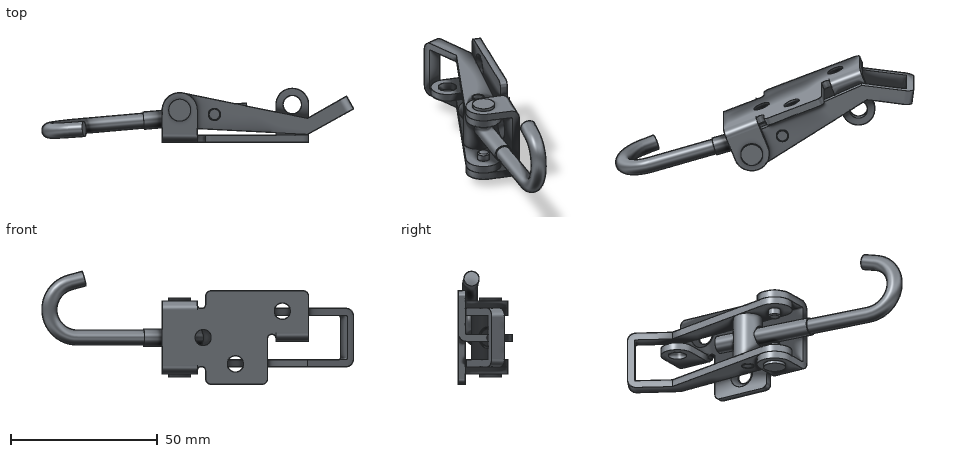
import cadquery as cq
import math


SHEET = 2.5
BEND_RADIUS = 3.0
INNER_BEND_RADIUS = BEND_RADIUS - SHEET
PIVOT_Y = 11.0
EYE_RADIUS = 6.0
LEVER_HALF_WIDTH = 10.0
ARM_INNER = LEVER_HALF_WIDTH - SHEET
LUG_OUTER = LEVER_HALF_WIDTH + SHEET

PLATE_START = 8.8
PLATE_STEP = 30.0
PLATE_END = 44.0
PLATE_HALF_HEIGHT = 16.0
PLATE_CORNER_RADIUS = 2.0
RELIEF_WIDTH = PLATE_START - EYE_RADIUS
RELIEF_DEPTH_PAST_LUG = 0.1
MOUNT_HOLE_DIAMETER = 5.5
MOUNT_HOLE_LAND = 0.75
MOUNT_HOLES = [(8.0, 0.0), (19.0, -9.0), (35.0, 9.0)]

PADLOCK_OUTER_Z = -1.4
PADLOCK_RADIUS = 5.6
PADLOCK_X = PLATE_END - PADLOCK_RADIUS
PADLOCK_TOP = 18.5
PADLOCK_Y = PADLOCK_TOP - PADLOCK_RADIUS
PADLOCK_HOLE_DIAMETER = 6.2

RIVET_HEAD_DIAMETER = 7.5
RIVET_HEAD_HEIGHT = 1.0
RIVET_DIAMETER = 4.2
RIVET_INNER_END = 5.0
RIVET_CHAMFER = 0.4

TRUNNION_X = 11.85
TRUNNION_Y = 9.55
TRUNNION_DIAMETER = 10.0
JOURNAL_DIAMETER = 4.2
JOURNAL_CHAMFER = 0.3
BORE_MOUTH_RADIUS = 3.66

BEND_TOP = (43.5, 8.2)
BEND_BOTTOM = (43.65, 2.75)
HANDLE_ANGLE = 29.0
HANDLE_WIDTH = 5.0
HANDLE_LENGTH = 17.95

ROD_TILT = 5.0
ROD_DIAMETER = 5.2
SHANK_DIAMETER = 6.0
SHANK_START = -24.2
SHANK_END = 11.2
HOOK_START = -46.95
HOOK_RADIUS = 9.6
HOOK_SWEEP = 165.0
HOOK_TIP_LENGTH = 4.9
HOOK_ROLL = 3.0


def plate_on_z(z_low, z_high):
    """Workplane at z_low, paired with the thickness up to z_high."""
    return cq.Workplane("XY").workplane(offset=z_low), z_high - z_low


def cylinder_z(x, y, diameter, z_low, z_high):
    plane, length = plate_on_z(z_low, z_high)
    return plane.center(x, y).circle(diameter / 2).extrude(length)


def flat_box(x_low, x_high, z_low, z_high):
    """Piece of the base plate lying on the mounting face."""
    return cq.Workplane("XY").box(
        x_high - x_low, SHEET, z_high - z_low, centered=False
    ).translate((x_low, 0, z_low))


def round_ended_lug(x, y, radius, z_low, z_high):
    """Lug standing on the mounting face, with a rounded top about (x, y)."""
    plane, thickness = plate_on_z(z_low, z_high)
    return (
        plane.moveTo(x - radius, 0)
        .lineTo(x - radius, y)
        .threePointArc((x, y + radius), (x + radius, y))
        .lineTo(x + radius, 0)
        .close()
        .extrude(thickness)
    )


def inner_bend_fill(x_low, x_high, z_face, side):
    """Concave fillet between the plate and a lug whose inner face is at z_face."""
    r = INNER_BEND_RADIUS
    z_tangent = z_face - side * r
    on_arc = r * (1 - math.sqrt(0.5))
    return (
        cq.Workplane("YZ")
        .workplane(offset=x_low)
        .moveTo(SHEET, z_face)
        .lineTo(SHEET, z_tangent)
        .threePointArc((SHEET + on_arc, z_face - side * on_arc), (SHEET + r, z_face))
        .close()
        .extrude(x_high - x_low)
    )


def bent_lug(x, y, radius, z_outer, side, plate_z):
    """Lug bent up from the plate; side is the Z direction its outer face looks to."""
    z_inner = z_outer - side * SHEET
    lug = round_ended_lug(x, y, radius, min(z_inner, z_outer), max(z_inner, z_outer))
    foot = flat_box(x - radius, x + radius, min(plate_z, z_outer), max(plate_z, z_outer))
    bend_edge = cq.selectors.NearestToPointSelector((x, 0, z_outer))
    bent = lug.union(foot).edges(bend_edge).fillet(BEND_RADIUS)
    return bent.union(inner_bend_fill(x - radius, x + radius, z_inner, side))


def relief(x, z_root, z_open):
    """Round-rooted bend relief slot from z_root out to z_open."""
    radius = RELIEF_WIDTH / 2
    direction = math.copysign(1, z_open - z_root)
    z_center = z_root + direction * radius
    slot = flat_box(x - radius, x + radius, min(z_center, z_open), max(z_center, z_open))
    root = cq.Workplane("XZ").center(x, z_center).circle(radius).extrude(-SHEET)
    return slot.union(root)


def mount_hole():
    """Screw hole about the Y axis, countersunk on the lever side of the plate."""
    radius = MOUNT_HOLE_DIAMETER / 2
    mouth_radius = radius + SHEET - MOUNT_HOLE_LAND
    return (
        cq.Workplane("XY")
        .lineTo(radius, 0)
        .lineTo(radius, MOUNT_HOLE_LAND)
        .lineTo(mouth_radius, SHEET)
        .lineTo(0, SHEET)
        .close()
        .revolve(360, (0, 0, 0), (0, 1, 0))
    )


def make_base():
    upper = flat_box(PLATE_START, PLATE_END, 0, PLATE_HALF_HEIGHT)
    lower = flat_box(PLATE_START, PLATE_STEP, -PLATE_HALF_HEIGHT, 0)
    upper = upper.edges("|Y and >Z").fillet(PLATE_CORNER_RADIUS)
    lower = lower.edges("|Y and <Z").fillet(PLATE_CORNER_RADIUS)
    neck = flat_box(EYE_RADIUS, PLATE_START, -LUG_OUTER, LUG_OUTER)
    base = upper.union(lower).union(neck)

    relief_x = PLATE_START - RELIEF_WIDTH / 2
    relief_root = LEVER_HALF_WIDTH - RELIEF_DEPTH_PAST_LUG
    ear_root = PADLOCK_OUTER_Z + SHEET
    for side in (1, -1):
        base = base.cut(relief(relief_x, side * relief_root, side * LUG_OUTER))
    base = base.cut(relief(PLATE_STEP + RELIEF_WIDTH / 2, ear_root, PADLOCK_OUTER_Z - BEND_RADIUS))

    ear_start = PADLOCK_X - PADLOCK_RADIUS
    base = base.cut(flat_box(ear_start, PLATE_END, PADLOCK_OUTER_Z, PADLOCK_OUTER_Z + BEND_RADIUS))
    ear_plate_z = PADLOCK_OUTER_Z + 2 * BEND_RADIUS
    base = base.union(
        bent_lug(PADLOCK_X, PADLOCK_Y, PADLOCK_RADIUS, PADLOCK_OUTER_Z, -1, ear_plate_z)
    )
    for side in (1, -1):
        base = base.union(bent_lug(0, PIVOT_Y, EYE_RADIUS, side * LUG_OUTER, side, 0))

    for x, z in MOUNT_HOLES:
        base = base.cut(mount_hole().translate((x, 0, z)))
    base = base.cut(cylinder_z(0, PIVOT_Y, RIVET_DIAMETER, -LUG_OUTER, LUG_OUTER))
    return base.cut(
        cylinder_z(
            PADLOCK_X, PADLOCK_Y, PADLOCK_HOLE_DIAMETER, PADLOCK_OUTER_Z, PADLOCK_OUTER_Z + SHEET
        )
    )


def eye_tangent_point(corner, side):
    """Point where the line from corner touches the pivot eye, above (+1) or below (-1)."""
    dx = corner[0]
    dy = corner[1] - PIVOT_Y
    angle = math.atan2(dy, dx) + side * math.acos(EYE_RADIUS / math.hypot(dx, dy))
    return EYE_RADIUS * math.cos(angle), PIVOT_Y + EYE_RADIUS * math.sin(angle)


def make_lever():
    angle = math.radians(HANDLE_ANGLE)
    along = (math.cos(angle), math.sin(angle))
    tip_low = (
        BEND_BOTTOM[0] + HANDLE_LENGTH * along[0],
        BEND_BOTTOM[1] + HANDLE_LENGTH * along[1],
    )
    tip_high = (tip_low[0] - HANDLE_WIDTH * along[1], tip_low[1] + HANDLE_WIDTH * along[0])
    plane, width = plate_on_z(-LEVER_HALF_WIDTH, LEVER_HALF_WIDTH)
    lever = (
        plane.moveTo(*eye_tangent_point(BEND_BOTTOM, -1))
        .lineTo(*BEND_BOTTOM)
        .lineTo(*tip_low)
        .lineTo(*tip_high)
        .lineTo(*BEND_TOP)
        .lineTo(*eye_tangent_point(BEND_TOP, 1))
        .threePointArc((-EYE_RADIUS, PIVOT_Y), eye_tangent_point(BEND_BOTTOM, -1))
        .close()
        .extrude(width)
    )

    tip_mid_x = (tip_low[0] + tip_high[0]) / 2
    tip_mid_y = (tip_low[1] + tip_high[1]) / 2
    for side in (1, -1):
        corner = cq.selectors.NearestToPointSelector((tip_mid_x, tip_mid_y, side * LEVER_HALF_WIDTH))
        lever = lever.edges(corner).fillet(BEND_RADIUS)

    space_length = 2 * PLATE_END
    space_height = 2 * PADLOCK_TOP
    space = (
        cq.Workplane("XY")
        .box(space_length, space_height, 2 * ARM_INNER)
        .edges("|Y and >X")
        .fillet(INNER_BEND_RADIUS)
        .translate((-SHEET - space_length / 2, 0, 0))
        .rotate((0, 0, 0), (0, 0, 1), HANDLE_ANGLE)
        .translate((tip_mid_x, tip_mid_y, 0))
    )
    pivot_space = cq.Workplane("XY").box(2 * BEND_TOP[0], space_height, 2 * ARM_INNER)
    lever = lever.cut(space).cut(pivot_space.translate((0, PIVOT_Y, 0)))

    lever = lever.cut(cylinder_z(0, PIVOT_Y, RIVET_DIAMETER, -LEVER_HALF_WIDTH, LEVER_HALF_WIDTH))
    return lever.cut(
        cylinder_z(TRUNNION_X, TRUNNION_Y, JOURNAL_DIAMETER, -LEVER_HALF_WIDTH, LEVER_HALF_WIDTH)
    )


def make_rivet(side):
    """Pivot rivet, headed outside the lug; side is the Z direction of its head."""
    stem = cylinder_z(0, PIVOT_Y, RIVET_DIAMETER, RIVET_INNER_END, LUG_OUTER)
    stem = stem.faces("<Z").edges().chamfer(RIVET_CHAMFER)
    head_top = LUG_OUTER + RIVET_HEAD_HEIGHT
    rivet = stem.union(cylinder_z(0, PIVOT_Y, RIVET_HEAD_DIAMETER, LUG_OUTER, head_top))
    return rivet if side > 0 else rivet.mirror("XY")


def place_on_rod_axis(body):
    """Move a body built along X through the origin onto the tilted rod axis."""
    return body.rotate((0, 0, 0), (0, 0, 1), ROD_TILT).translate((TRUNNION_X, TRUNNION_Y, 0))


def make_trunnion():
    barrel = cylinder_z(TRUNNION_X, TRUNNION_Y, TRUNNION_DIAMETER, -ARM_INNER, ARM_INNER)
    journal = cylinder_z(
        TRUNNION_X, TRUNNION_Y, JOURNAL_DIAMETER, -LEVER_HALF_WIDTH, LEVER_HALF_WIDTH
    ).faces("<Z or >Z").edges().chamfer(JOURNAL_CHAMFER)

    barrel_radius = TRUNNION_DIAMETER / 2
    bore_radius = SHANK_DIAMETER / 2
    sink_depth = BORE_MOUTH_RADIUS - bore_radius
    bore = (
        cq.Workplane("XY")
        .moveTo(-barrel_radius, 0)
        .lineTo(-barrel_radius, BORE_MOUTH_RADIUS)
        .lineTo(sink_depth - barrel_radius, bore_radius)
        .lineTo(barrel_radius - sink_depth, bore_radius)
        .lineTo(barrel_radius, BORE_MOUTH_RADIUS)
        .lineTo(barrel_radius, 0)
        .close()
        .revolve(360, (0, 0, 0), (1, 0, 0))
    )
    return barrel.union(journal).cut(place_on_rod_axis(bore))


def make_hook():
    sweep = math.radians(HOOK_SWEEP)

    def on_bend(angle):
        return HOOK_START - HOOK_RADIUS * math.sin(angle), HOOK_RADIUS * (1 - math.cos(angle))

    bend_end = on_bend(sweep)
    tip = (
        bend_end[0] - HOOK_TIP_LENGTH * math.cos(sweep),
        bend_end[1] + HOOK_TIP_LENGTH * math.sin(sweep),
    )
    centre_line = (
        cq.Workplane("XZ")
        .moveTo(SHANK_START, 0)
        .lineTo(HOOK_START, 0)
        .threePointArc(on_bend(sweep / 2), bend_end)
        .lineTo(*tip)
    )
    rod = (
        cq.Workplane("YZ").workplane(offset=SHANK_START).circle(ROD_DIAMETER / 2).sweep(centre_line)
    )
    shank = (
        cq.Workplane("YZ")
        .workplane(offset=SHANK_START)
        .circle(SHANK_DIAMETER / 2)
        .extrude(SHANK_END - SHANK_START)
    )
    hook = rod.union(shank).rotate((0, 0, 0), (1, 0, 0), HOOK_ROLL)
    return place_on_rod_axis(hook)


base = make_base()
lever = make_lever()
trunnion = make_trunnion()
hook = make_hook()
rivets = [make_rivet(side) for side in (1, -1)]

result = cq.Compound.makeCompound(
    [base.val(), lever.val(), trunnion.val(), hook.val(), *[rivet.val() for rivet in rivets]]
)